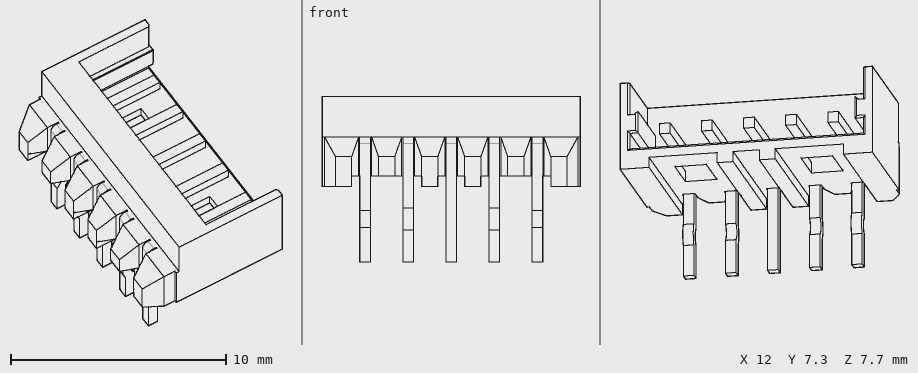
import cadquery as cq


HOUSING_WIDTH = 12.0
HOUSING_HEIGHT = 4.2
UPPER_DEPTH = 5.66
LOWER_DEPTH = 5.82
SHELF_Z = 2.3
UNDERSIDE_Z = 0.49

CAVITY_DEPTH = 3.91
FLOOR_Z = 1.0
SIDE_WALL = 0.45
LEAD_IN = 0.1

TOLERANCE = 0.001

RIB_PROJECTION = 0.4
RIB_LEDGE_WIDTH = 0.24
RIB_BOTTOM_Z = 1.75
RIB_LEDGE_Z = 2.64
RIB_PEAK_Z = RIB_LEDGE_Z + RIB_PROJECTION - RIB_LEDGE_WIDTH

PIN_COUNT = 5
TOOTH_COUNT = PIN_COUNT + 1
PITCH = HOUSING_WIDTH / TOOTH_COUNT
PIN_SIZE = 0.5
PIN_BACK_Y = -0.6
PIN_LEG_FRONT_Y = -6.25
PIN_LEG_BACK_Y = PIN_LEG_FRONT_Y + PIN_SIZE
PIN_TIP_Z = -3.5
PIN_BEND = 0.3

KINK_DIRECTIONS = [1, -1, 0, -1, 1]
KINK_Z = -1.5
KINK_OUTER_LENGTH = 1.03
KINK_OUTER_RISE = 0.15
KINK_INNER_LENGTH = 0.8
KINK_INNER_RISE = 0.2

SLOT_WIDTH = 0.6
END_INSET = 0.12
TOOTH_TAPER_Y = -6.42
TOOTH_FRONT_Y = -7.3
TOOTH_NOSE_WIDTH = 0.75
TOOTH_SLOPE_DROP = 0.9

WINDOW_TEETH = [1, 4]
WINDOW_BACK_Y = -1.63
WINDOW_WIDTH = PITCH - PIN_SIZE


def tooth_x(index):
    return (index - (TOOTH_COUNT - 1) / 2) * PITCH


def pin_x(index):
    return (index - (PIN_COUNT - 1) / 2) * PITCH


def box(x_range, y_range, z_range):
    spans = [high - low for low, high in (x_range, y_range, z_range)]
    corner = (x_range[0], y_range[0], z_range[0])
    return cq.Workplane("XY").box(*spans, centered=False).translate(corner)


def make_shell():
    half_width = HOUSING_WIDTH / 2
    side_profile = [
        (0, 0),
        (0, HOUSING_HEIGHT),
        (-UPPER_DEPTH, HOUSING_HEIGHT),
        (-UPPER_DEPTH, SHELF_Z),
        (-LOWER_DEPTH, SHELF_Z),
        (-LOWER_DEPTH, 0),
    ]
    block = cq.Workplane("YZ").polyline(side_profile).close().extrude(half_width, both=True)

    wall_x = half_width - SIDE_WALL
    rib_x = wall_x - RIB_PROJECTION
    ledge_x = wall_x - RIB_LEDGE_WIDTH
    right_side = [
        (wall_x, FLOOR_Z),
        (wall_x, RIB_BOTTOM_Z),
        (rib_x, RIB_BOTTOM_Z),
        (rib_x, RIB_PEAK_Z),
        (ledge_x, RIB_LEDGE_Z),
        (wall_x, RIB_LEDGE_Z),
        (wall_x, HOUSING_HEIGHT),
    ]
    left_side = [(-x, z) for x, z in reversed(right_side)]
    cavity = cq.Workplane("XZ").polyline(right_side + left_side).close().extrude(CAVITY_DEPTH)
    shell = block.cut(cavity)

    def is_lead_in_edge(edge):
        center = edge.Center()
        side = abs(center.x)
        between_walls = side < wall_x + TOLERANCE
        beside_cavity = FLOOR_Z - TOLERANCE < center.z < HOUSING_HEIGHT - TOLERANCE
        on_rib_top = side > rib_x + TOLERANCE and RIB_LEDGE_Z - TOLERANCE < center.z < RIB_PEAK_Z
        return between_walls and beside_cavity and not on_rib_top

    return shell.faces(">Y").edges().filter(is_lead_in_edge).chamfer(LEAD_IN)


def make_tooth(index):
    half_base = (PITCH - SLOT_WIDTH) / 2
    half_end = HOUSING_WIDTH / 2 - abs(tooth_x(index)) - END_INSET
    left = half_end if index == 0 else half_base
    right = half_end if index == TOOTH_COUNT - 1 else half_base
    half_nose = TOOTH_NOSE_WIDTH / 2
    root_y = -UPPER_DEPTH
    plan = [
        (-left, root_y),
        (-left, TOOTH_TAPER_Y),
        (-half_nose, TOOTH_FRONT_Y),
        (half_nose, TOOTH_FRONT_Y),
        (right, TOOTH_TAPER_Y),
        (right, root_y),
    ]
    side = [
        (root_y, 0),
        (root_y, SHELF_Z),
        (TOOTH_TAPER_Y, SHELF_Z),
        (TOOTH_FRONT_Y, SHELF_Z - TOOTH_SLOPE_DROP),
        (TOOTH_FRONT_Y, 0),
    ]
    tooth = cq.Workplane("XY").polyline(plan).close().extrude(SHELF_Z)
    sloped = cq.Workplane("YZ").polyline(side).close().extrude(PITCH, both=True)
    return tooth.intersect(sloped).translate((tooth_x(index), 0, 0))


def cut_underside(housing):
    """Raise the underside between the feet, along the full depth."""
    foot_centers = [tooth_x(i) for i in range(TOOTH_COUNT) if i not in WINDOW_TEETH]
    half_foot = TOOTH_NOSE_WIDTH / 2
    for left, right in zip(foot_centers, foot_centers[1:]):
        gap = (left + half_foot, right - half_foot)
        housing = housing.cut(box(gap, (TOOTH_FRONT_Y, 0), (0, UNDERSIDE_Z)))
    return housing


def cut_windows(housing):
    for index in WINDOW_TEETH:
        center = tooth_x(index)
        x_range = (center - WINDOW_WIDTH / 2, center + WINDOW_WIDTH / 2)
        housing = housing.cut(box(x_range, (-CAVITY_DEPTH, WINDOW_BACK_Y), (0, FLOOR_Z)))
    return housing


def bow_leg_face(outline, face_y, bow, length, rise, travel):
    """Add a kink arc to one leg face, drawn upward (travel 1) or downward (travel -1)."""
    reach = travel * length / 2
    start = (face_y, KINK_Z - reach)
    middle = (face_y + bow * rise, KINK_Z)
    end = (face_y, KINK_Z + reach)
    return outline.lineTo(*start).threePointArc(middle, end)


def make_pin(index):
    bow = KINK_DIRECTIONS[index]
    outer_arc = (KINK_OUTER_LENGTH, KINK_OUTER_RISE)
    inner_arc = (KINK_INNER_LENGTH, KINK_INNER_RISE)
    front_arc, back_arc = (inner_arc, outer_arc) if bow > 0 else (outer_arc, inner_arc)
    pin_bottom_z = SHELF_Z - PIN_SIZE

    outline = (
        cq.Workplane("YZ")
        .moveTo(PIN_BACK_Y, SHELF_Z)
        .lineTo(PIN_LEG_FRONT_Y + PIN_BEND, SHELF_Z)
        .radiusArc((PIN_LEG_FRONT_Y, SHELF_Z - PIN_BEND), -PIN_BEND)
    )
    if bow:
        outline = bow_leg_face(outline, PIN_LEG_FRONT_Y, bow, *front_arc, travel=-1)
    outline = outline.lineTo(PIN_LEG_FRONT_Y, PIN_TIP_Z).lineTo(PIN_LEG_BACK_Y, PIN_TIP_Z)
    if bow:
        outline = bow_leg_face(outline, PIN_LEG_BACK_Y, bow, *back_arc, travel=1)
    outline = outline.lineTo(PIN_LEG_BACK_Y, pin_bottom_z).lineTo(PIN_BACK_Y, pin_bottom_z)
    pin = outline.close().extrude(PIN_SIZE / 2, both=True)
    return pin.translate((pin_x(index), 0, 0))


housing = make_shell()
for tooth_index in range(TOOTH_COUNT):
    housing = housing.union(make_tooth(tooth_index))
housing = cut_windows(cut_underside(housing))

result = housing
for pin_index in range(PIN_COUNT):
    result = result.union(make_pin(pin_index))